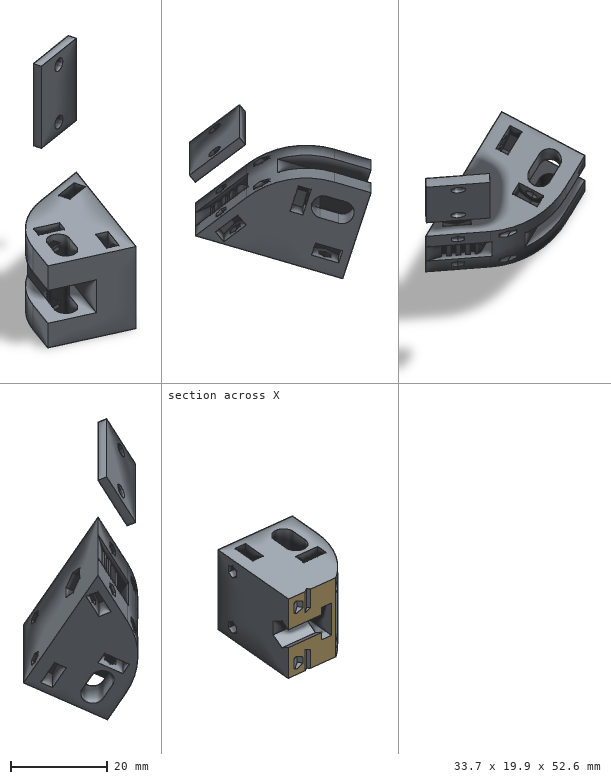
import cadquery as cq
import math

WIDTH = 32.05
HEIGHT = 20.0
NOSE_RADIUS = 19.9
FLAT_FRONT = 8.0
LAYER = 6.0
CLEAR = 5.25

CORNER = cq.Vector(-WIDTH, 0, 0)
TANGENT_ANGLE = math.acos(NOSE_RADIUS / (WIDTH - FLAT_FRONT))
ALONG = cq.Vector(math.sin(TANGENT_ANGLE), -math.cos(TANGENT_ANGLE), 0)
INWARD = cq.Vector(math.cos(TANGENT_ANGLE), math.sin(TANGENT_ANGLE), 0)
SLANT_LENGTH = (WIDTH - FLAT_FRONT) * math.sin(TANGENT_ANGLE)

SLOT_WIDTH = 4.95
SLOT_Y = -13.95
SLOT_LEFT_X = -8.5
SLOT_RIGHT_X = -4.45

WALL_DEPTH = 8.95
WALL_ROUND = 1.45
BELT_INSET = 0.8
FIRST_GROOVE = 3.4
GROOVE_PITCH = 2.0
GROOVE_WIDTH = 1.0
GROOVE_DEPTH = 0.6
GROOVE_COUNT = 4
WALL_HEX_X = -21.2

HOLE_CORNERS = 3.05
SCREW_INSET = 3.0
NUT_FLATS = 5.9
NUT_CORNERS = NUT_FLATS / math.cos(math.radians(30))
NUT_THICKNESS = 2.8
SLANT_NUT_INSET = 3.3
SLANT_HOLE_END = 6.3
FRONT_NUT_X = -13.45
BACK_NUT_X = -4.8
BACK_NUT_Y = -4.45

PLATE_THICKNESS = 2.0
PLATE_LENGTH = 13.3
PLATE_BOTTOM = 32.6
PLATE_HOLE = 3.0


def slant_point(along, inward):
    """Plan position measured from the back left corner, along and behind the slanted face."""
    point = CORNER + ALONG * along + INWARD * inward
    return (point.x, point.y)


def arc_midpoint(centre_x, centre_y, radius):
    """Middle of an arc that runs from the slant direction to the front direction."""
    start_angle = math.pi + TANGENT_ANGLE
    end_angle = 1.5 * math.pi
    middle = (start_angle + end_angle) / 2
    return (centre_x + radius * math.cos(middle), centre_y + radius * math.sin(middle))


def block_blank():
    """Full-height outline: back, slanted face, curved nose and straight front."""
    arc_middle = arc_midpoint(-FLAT_FRONT, 0, NOSE_RADIUS)
    return (
        cq.Workplane("XY")
        .moveTo(0, 0)
        .lineTo(-WIDTH, 0)
        .lineTo(*slant_point(SLANT_LENGTH, 0))
        .threePointArc(arc_middle, (-FLAT_FRONT, -NOSE_RADIUS))
        .lineTo(0, -NOSE_RADIUS)
        .close()
        .extrude(HEIGHT)
    )


def belt_wall():
    """Middle part of the back wall, with the toothed belt seat at its left end."""
    round_inset = BELT_INSET + WALL_ROUND
    round_along = (WALL_DEPTH - WALL_ROUND + INWARD.y * round_inset) / -ALONG.y
    centre_x, centre_y = slant_point(round_along, round_inset)
    round_middle = arc_midpoint(centre_x, centre_y, WALL_ROUND)
    wall = (
        cq.Workplane("XY", origin=(0, 0, LAYER))
        .moveTo(0, 0)
        .lineTo(-WIDTH, 0)
        .lineTo(*slant_point(FIRST_GROOVE, BELT_INSET))
        .lineTo(*slant_point(round_along, BELT_INSET))
        .threePointArc(round_middle, (centre_x, -WALL_DEPTH))
        .lineTo(0, -WALL_DEPTH)
        .close()
        .extrude(HEIGHT - 2 * LAYER)
    )
    for index in range(GROOVE_COUNT):
        start = FIRST_GROOVE + index * GROOVE_PITCH
        end = start + GROOVE_WIDTH
        groove = (
            cq.Workplane("XY")
            .polyline([
                slant_point(start, 0),
                slant_point(end, 0),
                slant_point(end, BELT_INSET + GROOVE_DEPTH),
                slant_point(start, BELT_INSET + GROOVE_DEPTH),
            ])
            .close()
            .extrude(HEIGHT)
        )
        wall = wall.cut(groove)
    return wall


def middle_gap():
    """Space between the flanges, leaving the cross bar."""
    gap_height = HEIGHT - 2 * LAYER
    cutter_side = 3 * WIDTH
    gap = cq.Workplane("XY", origin=(0, 0, LAYER)).rect(cutter_side, cutter_side).extrude(gap_height)
    bar = (
        cq.Workplane("XY", origin=(SLOT_LEFT_X - WIDTH, SLOT_Y, LAYER))
        .box(WIDTH, SLOT_WIDTH, gap_height, centered=(False, True, False))
    )
    return gap.cut(bar)


def axle_slot():
    """Elongated slot through both flanges and the end of the cross bar."""
    span = SLOT_RIGHT_X - SLOT_LEFT_X
    return (
        cq.Workplane("XY", origin=((SLOT_LEFT_X + SLOT_RIGHT_X) / 2, SLOT_Y, 0))
        .slot2D(span + SLOT_WIDTH, SLOT_WIDTH)
        .extrude(HEIGHT)
    )


def hexagon_bar(corners, start, end):
    """Hexagonal bar along X, with a corner pointing down."""
    return (
        cq.Workplane("YZ", origin=(start, 0, 0))
        .transformed(rotate=(0, 0, 90))
        .polygon(6, corners)
        .extrude(end - start)
    )


def nut_screw_cut(place, angle, hole_start, hole_end):
    """Screw hole along the given direction and a nut pocket open to the top face."""
    half_flats = NUT_FLATS / 2
    point = NUT_CORNERS / 2
    shoulder = point / 2
    pocket = (
        cq.Workplane("YZ", origin=(-NUT_THICKNESS / 2, 0, 0))
        .polyline([
            (0, -point),
            (half_flats, -shoulder),
            (half_flats, SCREW_INSET),
            (-half_flats, SCREW_INSET),
            (-half_flats, -shoulder),
        ])
        .close()
        .extrude(NUT_THICKNESS)
    )
    cut = pocket.union(hexagon_bar(HOLE_CORNERS, hole_start, hole_end))
    cut = cut.rotate((0, 0, 0), (0, 0, 1), angle)
    return cut.translate((place[0], place[1], HEIGHT - SCREW_INSET))


def make_block():
    """Belt block: two flanges joined by the toothed back wall and the cross bar."""
    block = block_blank().cut(middle_gap()).union(belt_wall()).cut(axle_slot())
    screw_cuts = [
        nut_screw_cut(
            slant_point(SLANT_LENGTH / 2, SLANT_NUT_INSET),
            math.degrees(TANGENT_ANGLE),
            -SLANT_NUT_INSET - CLEAR,
            SLANT_HOLE_END - SLANT_NUT_INSET,
        ),
        nut_screw_cut((FRONT_NUT_X, SLOT_Y), 0, -WIDTH, SLOT_LEFT_X - FRONT_NUT_X),
        nut_screw_cut((BACK_NUT_X, BACK_NUT_Y), 90, 0, CLEAR - BACK_NUT_Y),
    ]
    for cut in screw_cuts:
        mirrored_cut = cut.mirror("XY", (0, 0, HEIGHT / 2))
        block = block.cut(cut).cut(mirrored_cut)
    wall_hex = hexagon_bar(NUT_CORNERS, -WALL_DEPTH, CLEAR)
    wall_hex = wall_hex.rotate((0, 0, 0), (0, 0, 1), 90)
    return block.cut(wall_hex.translate((WALL_HEX_X, 0, HEIGHT / 2)))


def make_plate():
    """Loose plate parallel to the slanted face, with two round screw holes."""
    plate = (
        cq.Workplane("XY", origin=(0, 0, PLATE_BOTTOM))
        .polyline([
            slant_point(0, 0),
            slant_point(PLATE_LENGTH, 0),
            slant_point(PLATE_LENGTH, -PLATE_THICKNESS),
            slant_point(0, -PLATE_THICKNESS),
        ])
        .close()
        .extrude(HEIGHT)
    )
    x, y = slant_point(PLATE_LENGTH / 2, -PLATE_THICKNESS)
    for z in (PLATE_BOTTOM + SCREW_INSET, PLATE_BOTTOM + HEIGHT - SCREW_INSET):
        hole = cq.Solid.makeCylinder(PLATE_HOLE / 2, PLATE_THICKNESS, cq.Vector(x, y, z), INWARD)
        plate = plate.cut(cq.Workplane(hole))
    return plate


block = make_block()
plate = make_plate()
result = cq.Compound.makeCompound([block.solids().val(), plate.solids().val()])